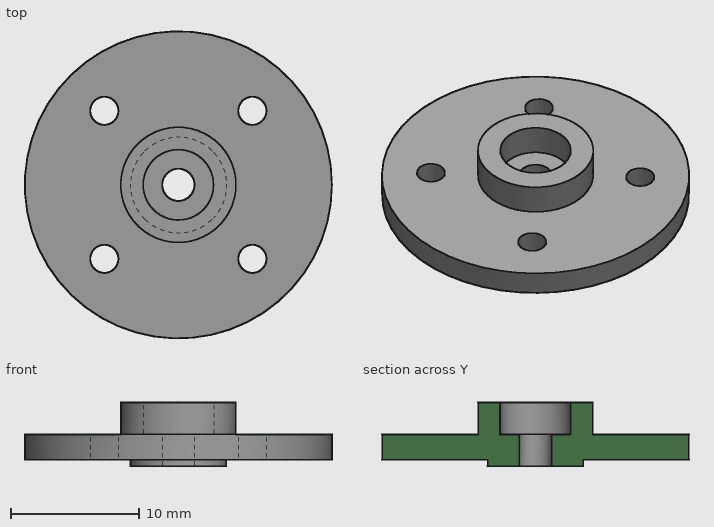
import cadquery as cq

flange_diameter = 24.0
flange_thickness = 2.0

hub_diameter = 9.0
hub_height = 2.5
spigot_diameter = 7.5
spigot_height = 0.5

recess_diameter = 5.5
recess_depth = hub_height
bore_diameter = 2.5

mount_hole_diameter = 2.18
mount_hole_spacing = 11.56

hub_top = flange_thickness + hub_height


def cylinder(diameter, height, base_z):
    """Upright cylinder on the part axis, starting at base_z."""
    return cq.Workplane("XY").workplane(offset=base_z).circle(diameter / 2).extrude(height)


def make_body():
    """Flange, hub and spigot joined on one axis."""
    flange = cylinder(flange_diameter, flange_thickness, 0)
    hub = cylinder(hub_diameter, hub_height, flange_thickness)
    spigot = cylinder(spigot_diameter, spigot_height, -spigot_height)
    return flange.union(hub).union(spigot)


def cut_stepped_bore(body):
    """Through bore with a wider recess opening at the hub top."""
    recess = cylinder(recess_diameter, recess_depth, hub_top - recess_depth)
    bore = cylinder(bore_diameter, hub_top + spigot_height, -spigot_height)
    return body.cut(recess).cut(bore)


def cut_mount_holes(body):
    """Through holes at the corners of a square centred on the axis."""
    holes = (
        cq.Workplane("XY")
        .rarray(mount_hole_spacing, mount_hole_spacing, 2, 2)
        .circle(mount_hole_diameter / 2)
        .extrude(flange_thickness)
    )
    return body.cut(holes)


result = cut_mount_holes(cut_stepped_bore(make_body()))